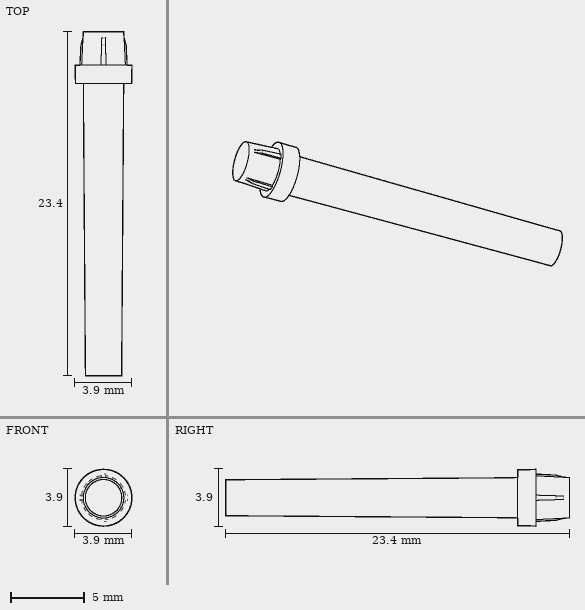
import cadquery as cq

total_length = 23.37
tail_radius = 1.25
root_radius = 1.38
head_tip_radius = 1.38
head_base_radius = 1.5
head_length = 2.27
collar_length = 1.26
collar_front_radius = 1.92
collar_back_radius = 1.95

rib_count = 4
rib_radius = 1.61
rib_ramp_radius = 1.55
rib_base_width = 0.35
rib_tip_width = 0.23
rib_end_gap = 0.35
ramp_length = 0.55
rib_root_radius = 1.17

collar_back = total_length - head_length
collar_front = collar_back - collar_length
rib_tip = total_length - rib_end_gap
ramp_start = rib_tip - ramp_length


def make_pin():
    """Tapered shaft, drafted collar and tapered head as one revolved body."""
    profile = (
        cq.Workplane("XY")
        .polyline([
            (0, 0),
            (tail_radius, 0),
            (root_radius, collar_front),
            (collar_front_radius, collar_front),
            (collar_back_radius, collar_back),
            (head_base_radius, collar_back),
            (head_tip_radius, total_length),
            (0, total_length),
        ])
        .close()
    )
    return profile.revolve(360, (0, 0, 0), (0, 1, 0))


def make_rib():
    """Top rib: a ramped side profile narrowed in plan towards its tip."""
    side = (
        cq.Workplane("YZ")
        .polyline([
            (collar_back, rib_root_radius),
            (collar_back, rib_radius),
            (ramp_start, rib_ramp_radius),
            (rib_tip, head_tip_radius),
            (rib_tip, rib_root_radius),
        ])
        .close()
        .extrude(rib_base_width / 2, both=True)
    )
    plan = (
        cq.Workplane("XY")
        .polyline([
            (-rib_base_width / 2, collar_back),
            (rib_base_width / 2, collar_back),
            (rib_tip_width / 2, rib_tip),
            (-rib_tip_width / 2, rib_tip),
        ])
        .close()
        .extrude(rib_radius)
    )
    return side.intersect(plan)


result = make_pin()
rib = make_rib()
for index in range(rib_count):
    angle = index * 360 / rib_count
    result = result.union(rib.rotate((0, 0, 0), (0, 1, 0), angle))